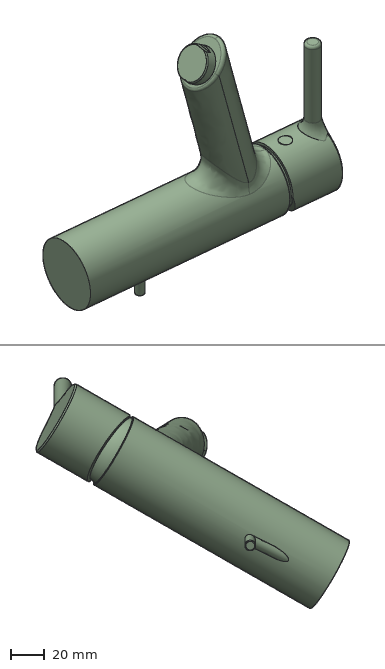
import cadquery as cq
import math

TOTAL_LENGTH = 188.5
BARREL_RADIUS = 23.28
BARREL_LENGTH = 148.7
BARREL_EDGE = 0.4

FACE_CUT_SIZE = 113.1

NECK_BASE_RADIUS = 22.0
NECK_MID_RADIUS = 20.7
NECK_END_RADIUS = 18.1
NECK_LENGTH = 8.5

CAP_START = 150.8
CAP_SLANT = 7.5
CAP_BACK_EDGE = 1.0
LEVER_RADIUS = 5.3
LEVER_Y = TOTAL_LENGTH - LEVER_RADIUS
LEVER_TOP = 87.5
LEVER_EDGE = 1.9
FLARE_RADIUS = 12.3
FLARE_MID_RADIUS = 7.5
FLARE_MID_Z = 24.1
FLARE_TOP_Z = 30.2
FLARE_BOTTOM_Z = math.sqrt(BARREL_RADIUS**2 - FLARE_RADIUS**2)

BUTTON_RADIUS = 4.3
BUTTON_Y = 162.9
BUTTON_DEPTH = 3.8
BUTTON_TOP = math.sqrt(BARREL_RADIUS**2 - BUTTON_RADIUS**2)

SPOUT_FOOT_Y = 127.8
SPOUT_LEAN = 13.3
SPOUT_LENGTH = 150.8
SPOUT_FOOT_HALF_WIDTH = 16.8
SPOUT_TOP_HALF_WIDTH = 15.0
SPOUT_HALF_DEPTH = 15.3
SPOUT_BLEND = 12.3
MOUTH_Y = 100.5
MOUTH_Z = 112.2
MOUTH_RISE = 40.4
MOUTH_EDGE = 2.0

AERATOR_RADIUS = 12.0
AERATOR_FACE_Y = 93.3
AERATOR_FACE_Z = 114.2
AERATOR_RISE = 34.6
AERATOR_LENGTH = 15.0
AERATOR_EDGE = 0.8
NOTCH_WIDTH = 10.0
NOTCH_LENGTH = 4.3
NOTCH_DEPTH = 1.1

ROD_RADIUS = 3.2
ROD_Y = 54.5
ROD_BOTTOM = -40.3
ROD_BEND_Z = -27.1
ROD_RISE = 15.3
ROD_ARM_LENGTH = 30.2
ROD_EDGE = 0.5


def tilted_plane(y, z, rise):
    """Plane through (0, y, z) facing forward and up by the given elevation."""
    angle = math.radians(rise)
    return cq.Plane(origin=(0, y, z), xDir=(1, 0, 0), normal=(0, -math.cos(angle), math.sin(angle)))


def cylinder_along_y(radius, start, end):
    return cq.Workplane("XZ", origin=(0, start, 0)).circle(radius).extrude(start - end)


def make_neck():
    end = BARREL_LENGTH + NECK_LENGTH
    return (
        cq.Workplane("XY")
        .moveTo(0, BARREL_LENGTH)
        .lineTo(NECK_BASE_RADIUS, BARREL_LENGTH)
        .threePointArc((NECK_MID_RADIUS, BARREL_LENGTH + NECK_LENGTH / 2), (NECK_END_RADIUS, end))
        .lineTo(0, end)
        .close()
        .revolve(360, (0, 0, 0), (0, 1, 0))
    )


def make_spout():
    """Spout tube with its slanting mouth and rounded rim."""
    axis_plane = tilted_plane(SPOUT_FOOT_Y, 0, 90 - SPOUT_LEAN)
    tube = (
        cq.Workplane(axis_plane)
        .ellipse(SPOUT_FOOT_HALF_WIDTH, SPOUT_HALF_DEPTH)
        .workplane(offset=SPOUT_LENGTH)
        .ellipse(SPOUT_TOP_HALF_WIDTH, SPOUT_HALF_DEPTH)
        .loft(ruled=True)
    )
    mouth_plane = tilted_plane(MOUTH_Y, MOUTH_Z, MOUTH_RISE)
    tube = tube.cut(cq.Workplane(mouth_plane).rect(FACE_CUT_SIZE, FACE_CUT_SIZE).extrude(FACE_CUT_SIZE))
    rim = cq.selectors.DirectionMinMaxSelector(mouth_plane.zDir, True)
    return tube.faces(rim).edges().fillet(MOUTH_EDGE)


def make_housing(neck, aerator, rod):
    barrel = cylinder_along_y(BARREL_RADIUS, 0, BARREL_LENGTH)
    barrel = barrel.faces(">Y").edges().chamfer(BARREL_EDGE)
    housing = barrel.union(make_spout())
    foot_region = cq.selectors.BoxSelector(
        (-BARREL_RADIUS, 0.1 * BARREL_LENGTH, 1.9), (BARREL_RADIUS, 0.99 * BARREL_LENGTH, 2 * BARREL_RADIUS)
    )
    housing = housing.edges(foot_region).fillet(SPOUT_BLEND)
    return housing.union(neck).cut(aerator).cut(rod)


def make_lever():
    profile = (
        cq.Workplane("XZ", origin=(0, LEVER_Y, 0))
        .lineTo(FLARE_RADIUS, 0)
        .lineTo(FLARE_RADIUS, FLARE_BOTTOM_Z)
        .threePointArc((FLARE_MID_RADIUS, FLARE_MID_Z), (LEVER_RADIUS, FLARE_TOP_Z))
        .lineTo(LEVER_RADIUS, LEVER_TOP)
        .lineTo(0, LEVER_TOP)
        .close()
    )
    lever = profile.revolve(360, (0, 0, 0), (0, 1, 0))
    return lever.faces(">Z").edges().fillet(LEVER_EDGE)


def make_handle(neck, button):
    cap = cylinder_along_y(BARREL_RADIUS, CAP_START, TOTAL_LENGTH)
    cap = cap.faces(">Y").edges().chamfer(CAP_BACK_EDGE)
    lip_relief = (
        cq.Workplane("YZ")
        .polyline([(CAP_START, 0), (CAP_START + CAP_SLANT, -BARREL_RADIUS), (CAP_START, -BARREL_RADIUS)])
        .close()
        .extrude(BARREL_RADIUS, both=True)
    )
    button_recess = (
        cq.Workplane("XY", origin=(0, BUTTON_Y, BUTTON_TOP)).circle(BUTTON_RADIUS).extrude(BUTTON_DEPTH)
    )
    back_plane = cq.Workplane("XZ", origin=(0, TOTAL_LENGTH, 0))
    behind = back_plane.rect(2 * FACE_CUT_SIZE, 2 * FACE_CUT_SIZE).extrude(-FACE_CUT_SIZE)
    handle = cap.union(make_lever().cut(behind))
    return handle.cut(lip_relief).cut(button_recess).cut(button).cut(neck)


def make_button():
    return cq.Workplane("XY", origin=(0, BUTTON_Y, BUTTON_TOP)).circle(BUTTON_RADIUS).extrude(-BUTTON_DEPTH)


def make_aerator():
    face = tilted_plane(AERATOR_FACE_Y, AERATOR_FACE_Z, AERATOR_RISE)
    aerator = cq.Workplane(face).circle(AERATOR_RADIUS).extrude(-AERATOR_LENGTH)
    front = cq.selectors.DirectionMinMaxSelector(face.zDir, True)
    aerator = aerator.faces(front).edges().chamfer(AERATOR_EDGE)
    notches = (
        cq.Workplane(face)
        .pushPoints([(0, AERATOR_RADIUS), (0, -AERATOR_RADIUS)])
        .rect(NOTCH_WIDTH, 2 * NOTCH_DEPTH)
        .extrude(-NOTCH_LENGTH)
    )
    return aerator.cut(notches)


def make_rod():
    rise = math.radians(ROD_RISE)
    arm_end = (ROD_Y - ROD_ARM_LENGTH * math.cos(rise), ROD_BEND_Z + ROD_ARM_LENGTH * math.sin(rise))
    path = cq.Workplane("YZ").moveTo(ROD_Y, ROD_BOTTOM).lineTo(ROD_Y, ROD_BEND_Z).lineTo(*arm_end)
    rod = (
        cq.Workplane("XY", origin=(0, ROD_Y, ROD_BOTTOM))
        .circle(ROD_RADIUS)
        .sweep(path, transition="right")
    )
    return rod.faces("<Z").edges().chamfer(ROD_EDGE)


neck = make_neck()
aerator = make_aerator()
rod = make_rod()
button = make_button()
housing = make_housing(neck, aerator, rod)
handle = make_handle(neck, button)

result = cq.Compound.makeCompound(
    [housing.val(), handle.val(), button.val(), aerator.val(), rod.val()]
)